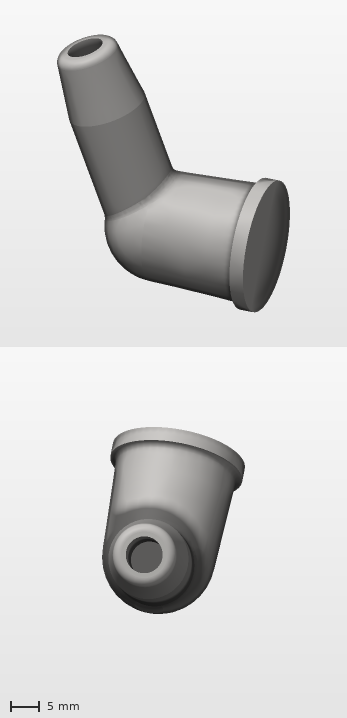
import cadquery as cq
import math

sphere_radius = 9.87
end_flat_x = -9.55
trim_half_height = 5.6
barrel_end_radius = 10.57
flange_radius = 11.7
flange_thickness = 2.5
flange_end_x = 19.55
flange_start_x = flange_end_x - flange_thickness
flange_fillet = 0.95

branch_tilt = 20.0
branch_base_x = -1.95
branch_radius = 7.0
branch_straight_length = 23.7
branch_length = 35.55
tip_radius = 5.4
tip_fillet = 1.55
bore_radius = 3.2
bore_depth = 14.45
joint_fillet = 1.6


def make_body():
    """Revolve the spherical end, barrel and flange about X, with the seam underneath."""
    arc_middle = sphere_radius * math.sqrt(0.5)
    profile = (
        cq.Workplane("XZ")
        .moveTo(-sphere_radius, 0)
        .threePointArc((-arc_middle, -arc_middle), (0, -sphere_radius))
        .lineTo(flange_start_x - flange_fillet, -barrel_end_radius)
        .radiusArc((flange_start_x, -barrel_end_radius - flange_fillet), flange_fillet)
        .lineTo(flange_start_x, -flange_radius)
        .lineTo(flange_end_x, -flange_radius)
        .lineTo(flange_end_x, 0)
        .close()
    )
    return profile.revolve(360, (0, 0, 0), (1, 0, 0))


def place_on_branch(shape):
    """Move a shape built up the Z axis onto the leaning branch axis."""
    return shape.rotate((0, 0, 0), (0, 1, 0), -branch_tilt).translate((branch_base_x, 0, 0))


def make_branch():
    """Cylindrical spigot with a tapered, rounded tip."""
    spigot = (
        cq.Workplane("XZ")
        .lineTo(branch_radius, 0)
        .lineTo(branch_radius, branch_straight_length)
        .lineTo(tip_radius, branch_length)
        .lineTo(0, branch_length)
        .close()
        .revolve(360, (0, 0, 0), (0, 1, 0))
        .faces(">Z")
        .edges()
        .fillet(tip_fillet)
    )
    return place_on_branch(spigot)


def make_bore():
    """Blind bore entering from the tip of the branch."""
    bore = (
        cq.Workplane("XY")
        .workplane(offset=branch_length - bore_depth)
        .circle(bore_radius)
        .extrude(bore_depth)
    )
    return place_on_branch(bore)


def joint_edges(joined):
    """Curved edges where the branch meets the sphere and barrel."""
    sine = math.sin(math.radians(branch_tilt))
    cosine = math.cos(math.radians(branch_tilt))
    tolerance = 0.005
    found = []
    for edge in joined.edges().vals():
        p = edge.positionAt(0.5)
        axis_distance = math.hypot((p.x - branch_base_x) * cosine + p.z * sine, p.y)
        on_branch = abs(axis_distance - branch_radius) < tolerance
        near_body = p.z < sphere_radius + joint_fillet
        if on_branch and near_body and edge.geomType() != "LINE":
            found.append(edge)
    return found


def make_end_trim(branch):
    """Block that flattens the spherical end but leaves the branch whole."""
    depth = sphere_radius
    block = cq.Workplane("XY").box(depth, 2 * sphere_radius, 2 * trim_half_height)
    return block.translate((end_flat_x - depth / 2, 0, 0)).cut(branch)


branch = make_branch()
elbow = make_body().union(branch)
elbow = elbow.newObject(joint_edges(elbow)).fillet(joint_fillet)
result = elbow.cut(make_end_trim(branch)).cut(make_bore())